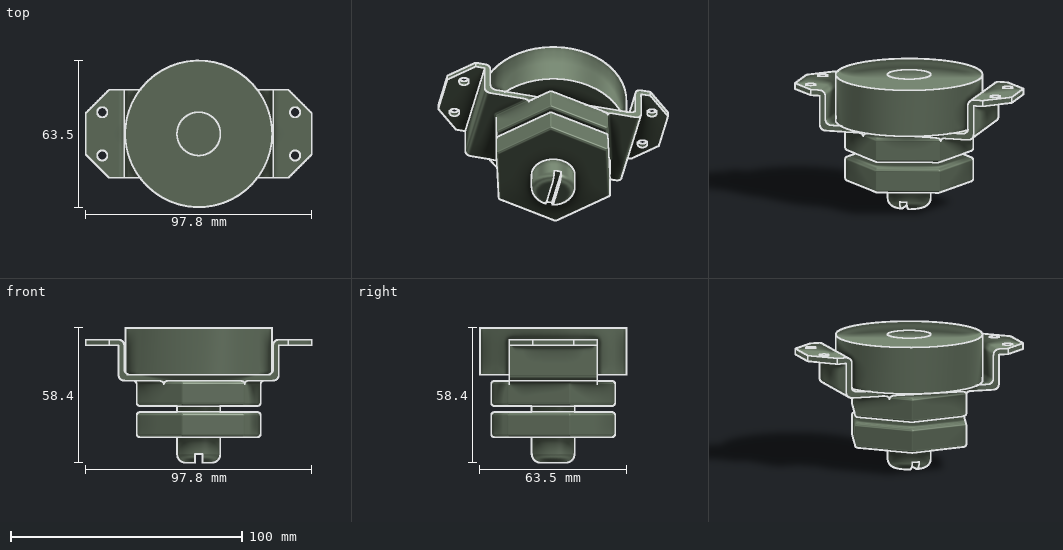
import cadquery as cq
import math


disc_diameter = 63.5
disc_height = 20.3
pin_diameter = 18.8
total_height = 58.4
pin_end_radius = 3.8
slot_width = 3.1
slot_depth = 3.8

bracket_length = 97.8
bracket_width = 38.1
sheet = 2.5
bend_radius = sheet
channel_length = 69.3
bracket_height = 17.8
ear_chamfer = 10.2
ear_hole_diameter = 4.3
ear_hole_spacing_x = 83.3
ear_hole_spacing_y = 18.7

nut_sides = 6
nut_across_flats = 48.3
nut_height = 11.0
nut_rim_radius = 1.5
nut_corner_radius = 0.8
nut_turn = 15.0
nut_gap = 2.5

half_channel = channel_length / 2
half_length = bracket_length / 2
floor_bottom = -sheet
ear_top = floor_bottom + bracket_height
ear_bottom = ear_top - sheet
weld_nut_bottom = floor_bottom - nut_height
lock_nut_bottom = weld_nut_bottom - nut_gap - nut_height
pin_bottom = disc_height - total_height
hex_circle_diameter = nut_across_flats / math.cos(math.pi / nut_sides)


def cylinder(diameter, bottom, top):
    """Upright cylinder on the Z axis."""
    return cq.Workplane("XY").workplane(offset=bottom).circle(diameter / 2).extrude(top - bottom)


def hex_prism(bottom, height):
    """Turned hexagon prism with rounded upright edges."""
    return (
        cq.Workplane("XY")
        .workplane(offset=bottom)
        .transformed(rotate=(0, 0, nut_turn))
        .polygon(nut_sides, hex_circle_diameter)
        .extrude(height)
        .edges("|Z")
        .fillet(nut_corner_radius)
    )


def rounded_nut(bottom):
    """Solid nut with both rims rounded."""
    return hex_prism(bottom, nut_height).faces("<Z or >Z").edges().fillet(nut_rim_radius)


def make_disc():
    disc = cylinder(disc_diameter, 0, disc_height)
    return disc.cut(cylinder(pin_diameter, 0, disc_height))


def make_pin():
    pin = cylinder(pin_diameter, pin_bottom, disc_height).faces("<Z").edges().fillet(pin_end_radius)
    slot = (
        cq.Workplane("XY")
        .workplane(offset=pin_bottom)
        .rect(slot_width, pin_diameter)
        .extrude(slot_depth)
    )
    return pin.cut(slot)


def make_lock_nut():
    lock_nut = rounded_nut(lock_nut_bottom)
    return lock_nut.cut(cylinder(pin_diameter, lock_nut_bottom, lock_nut_bottom + nut_height))


def folded_strip():
    """Sheet strip folded into a channel with an outward ear on each side."""
    inner_wall = half_channel - sheet
    half_profile = [
        (0, floor_bottom),
        (half_channel, floor_bottom),
        (half_channel, ear_bottom),
        (half_length, ear_bottom),
        (half_length, ear_top),
        (inner_wall, ear_top),
        (inner_wall, 0),
        (0, 0),
    ]
    half_strip = (
        cq.Workplane("XZ")
        .polyline(half_profile)
        .close()
        .extrude(bracket_width / 2, both=True)
    )
    rounded_bends = [
        (half_channel, floor_bottom),
        (inner_wall, ear_top),
        (inner_wall, 0),
    ]
    for x, z in rounded_bends:
        half_strip = half_strip.edges(cq.NearestToPointSelector((x, 0, z))).fillet(bend_radius)
    half_strip = half_strip.faces(">X").edges("|Z").chamfer(ear_chamfer)
    return half_strip.union(half_strip.mirror("YZ"))


def weld_cove():
    """Concave round that blends the weld nut into the floor, limited to the bracket width."""
    core = hex_prism(weld_nut_bottom, nut_height)
    plate = (
        cq.Workplane("XY")
        .workplane(offset=floor_bottom)
        .rect(channel_length, channel_length)
        .extrude(sheet)
    )
    junction = cq.selectors.BoxSelector(
        (-half_channel + sheet, -half_channel + sheet, floor_bottom - nut_rim_radius),
        (half_channel - sheet, half_channel - sheet, floor_bottom + sheet / 2),
    )
    blended = plate.union(core).edges("not |Z").edges(junction).fillet(nut_rim_radius)
    cove_band = (
        cq.Workplane("XY")
        .workplane(offset=floor_bottom - nut_rim_radius)
        .rect(channel_length - 2 * bend_radius, bracket_width)
        .extrude(nut_rim_radius)
    )
    return blended.intersect(cove_band)


def make_bracket():
    """Folded strip with the weld nut, bored for the pin and relieved for the disc rim."""
    bracket = folded_strip().union(rounded_nut(weld_nut_bottom)).union(weld_cove())
    ear_holes = (
        cq.Workplane("XY")
        .workplane(offset=ear_bottom)
        .rarray(ear_hole_spacing_x, ear_hole_spacing_y, 2, 2)
        .circle(ear_hole_diameter / 2)
        .extrude(sheet)
    )
    pin_bore = cylinder(pin_diameter, weld_nut_bottom, 0)
    disc_relief = cylinder(disc_diameter, 0, disc_height)
    return bracket.cut(ear_holes).cut(pin_bore).cut(disc_relief)


disc = make_disc()
pin = make_pin()
bracket = make_bracket()
lock_nut = make_lock_nut()

result = cq.Compound.makeCompound(
    [body.solids().val() for body in (disc, pin, bracket, lock_nut)]
)